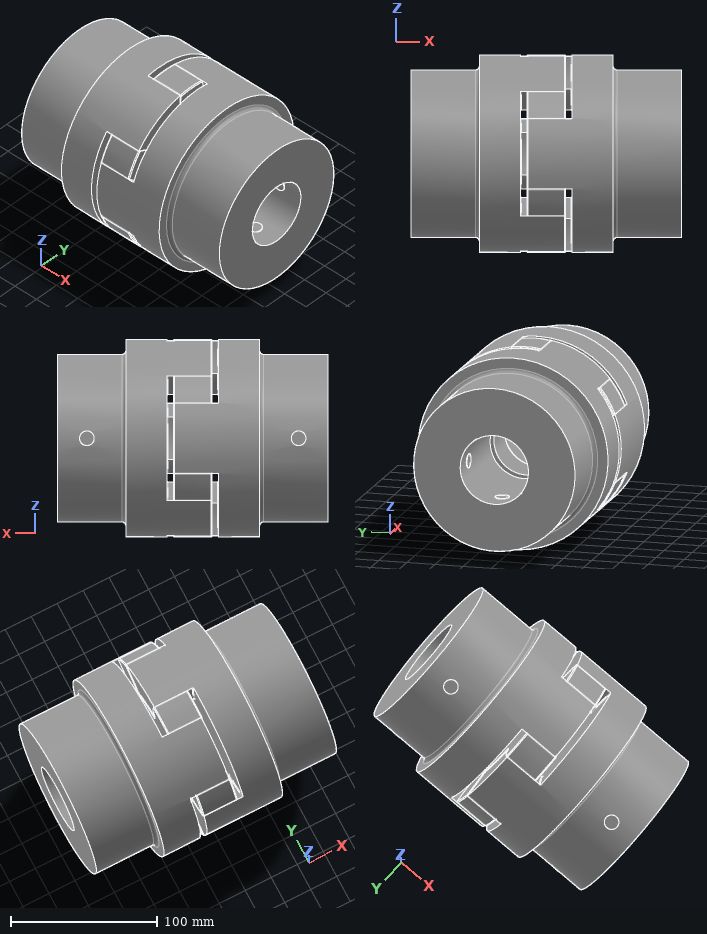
import cadquery as cq
import math


LENGTH = 185.0
FLANGE_RADIUS = 67.5
HUB_RADIUS = 57.4
BORE_RADIUS = 24.2
HUB_FILLET = 2.8

FLANGE_OUTER_X = 45.7
FLANGE_INNER_X = 17.5
JAW_TIP_X = 12.5
SPIDER_END_X = 13.1

LEG_COUNT = 6
LEG_PITCH = 360.0 / LEG_COUNT
LEG_ROOT_RADIUS = 45.1
LEG_ROOT_HALF_ANGLE = 11.4
LEG_MIDDLE_HALF_ANGLE = 11.4
LEG_TIP_HALF_ANGLE = 9.1
SPIDER_BORE_RADIUS = 22.8

JAW_COUNT = LEG_COUNT // 2
JAW_PITCH = 360.0 / JAW_COUNT
RIGHT_FIRST_GAP = LEG_PITCH / 2
LEFT_FIRST_GAP = RIGHT_FIRST_GAP + LEG_PITCH
JAW_ROOT_FILLET = 0.5
LEG_EDGE_FILLET = 0.7

SCREW_RADIUS = 5.0
SCREW_INNER_END = 23.7
SCREW_OUTER_END = 57.4
SCREW_X = 72.3
SCREW_ANGLES = (180.0, -90.0)


def turn(body, angle):
    """Turn a body about the X axis; +90 degrees takes +Z to -Y."""
    return body.rotate((0, 0, 0), (1, 0, 0), angle)


def rod(radius, x_start, x_end):
    """A plain cylinder on the X axis."""
    return cq.Workplane("YZ", origin=(x_start, 0, 0)).circle(radius).extrude(x_end - x_start)


def block(root_half_angle, middle_half_angle, tip_half_angle, x_start, x_end):
    """A block at +Z with curved flanks, from a flat across the leg roots out to the flange radius."""

    def at(radius, angle):
        return (radius * math.sin(math.radians(angle)), radius * math.cos(math.radians(angle)))

    middle_radius = (LEG_ROOT_RADIUS + FLANGE_RADIUS) / 2
    return (
        cq.Workplane("YZ", origin=(x_start, 0, 0))
        .moveTo(*at(LEG_ROOT_RADIUS, -root_half_angle))
        .threePointArc(at(middle_radius, -middle_half_angle), at(FLANGE_RADIUS, -tip_half_angle))
        .threePointArc(at(FLANGE_RADIUS, 0), at(FLANGE_RADIUS, tip_half_angle))
        .threePointArc(at(middle_radius, middle_half_angle), at(LEG_ROOT_RADIUS, root_half_angle))
        .close()
        .extrude(x_end - x_start)
    )


def make_hub_blank():
    """The left hub turned to its outside shape and bored, with its flange running on to the jaw tips."""
    fillet_middle = HUB_FILLET * (1 - math.sqrt(0.5))
    return (
        cq.Workplane("XZ")
        .moveTo(-LENGTH / 2, BORE_RADIUS)
        .lineTo(-LENGTH / 2, HUB_RADIUS)
        .lineTo(-FLANGE_OUTER_X - HUB_FILLET, HUB_RADIUS)
        .threePointArc(
            (-FLANGE_OUTER_X - fillet_middle, HUB_RADIUS + fillet_middle),
            (-FLANGE_OUTER_X, HUB_RADIUS + HUB_FILLET),
        )
        .lineTo(-FLANGE_OUTER_X, FLANGE_RADIUS)
        .lineTo(JAW_TIP_X, FLANGE_RADIUS)
        .lineTo(JAW_TIP_X, BORE_RADIUS)
        .close()
        .revolve(360, (0, 0, 0), (1, 0, 0))
    )


def make_jaw_cavity(first_gap):
    """The space inside and between the jaws of the left hub, rounded along the jaw roots."""
    cavity = rod(LEG_ROOT_RADIUS, -FLANGE_INNER_X, JAW_TIP_X).faces("<X").edges().fillet(JAW_ROOT_FILLET)
    gap = block(
        LEG_PITCH / 2 + LEG_ROOT_HALF_ANGLE,
        LEG_PITCH / 2 + LEG_MIDDLE_HALF_ANGLE,
        LEG_PITCH / 2 + LEG_TIP_HALF_ANGLE,
        -FLANGE_INNER_X,
        JAW_TIP_X,
    )
    flank_roots = cq.selectors.RadiusNthSelector(0)
    gap = gap.faces("<X").edges(flank_roots).fillet(JAW_ROOT_FILLET)
    for i in range(JAW_COUNT):
        cavity = cavity.union(turn(gap, first_gap + i * JAW_PITCH))
    return cavity


def screw_cylinder(side, angle, inner_end, outer_end):
    """A radial cylinder on a set screw's axis."""
    plane = cq.Workplane("XY", origin=(side * SCREW_X, 0, inner_end))
    return turn(plane.circle(SCREW_RADIUS).extrude(outer_end - inner_end), angle)


def make_hub(side, first_gap):
    """A hub with its jaws and screw holes; side is -1 for the left hub and 1 for the right."""
    hub = make_hub_blank().cut(make_jaw_cavity(first_gap))
    if side > 0:
        hub = hub.mirror("YZ")
    for angle in SCREW_ANGLES:
        hub = hub.cut(screw_cylinder(side, angle, 0, FLANGE_RADIUS))
    return hub


def make_spider():
    """The elastic ring with a leg between each pair of jaws."""
    spider = rod(LEG_ROOT_RADIUS, -SPIDER_END_X, SPIDER_END_X)
    leg = block(
        LEG_ROOT_HALF_ANGLE, LEG_MIDDLE_HALF_ANGLE, LEG_TIP_HALF_ANGLE, -SPIDER_END_X, SPIDER_END_X
    )
    leg = leg.faces(">Z").edges().fillet(LEG_EDGE_FILLET)
    for i in range(LEG_COUNT):
        spider = spider.union(turn(leg, i * LEG_PITCH))
    return spider.cut(rod(SPIDER_BORE_RADIUS, -SPIDER_END_X, SPIDER_END_X))


left_hub = make_hub(-1, LEFT_FIRST_GAP)
right_hub = make_hub(1, RIGHT_FIRST_GAP)
spider = make_spider()
set_screws = [
    screw_cylinder(side, angle, SCREW_INNER_END, SCREW_OUTER_END)
    for side in (-1, 1)
    for angle in SCREW_ANGLES
]

result = cq.Compound.makeCompound(
    [
        *left_hub.solids().vals(),
        *right_hub.solids().vals(),
        *spider.solids().vals(),
        *[screw.val() for screw in set_screws],
    ]
)